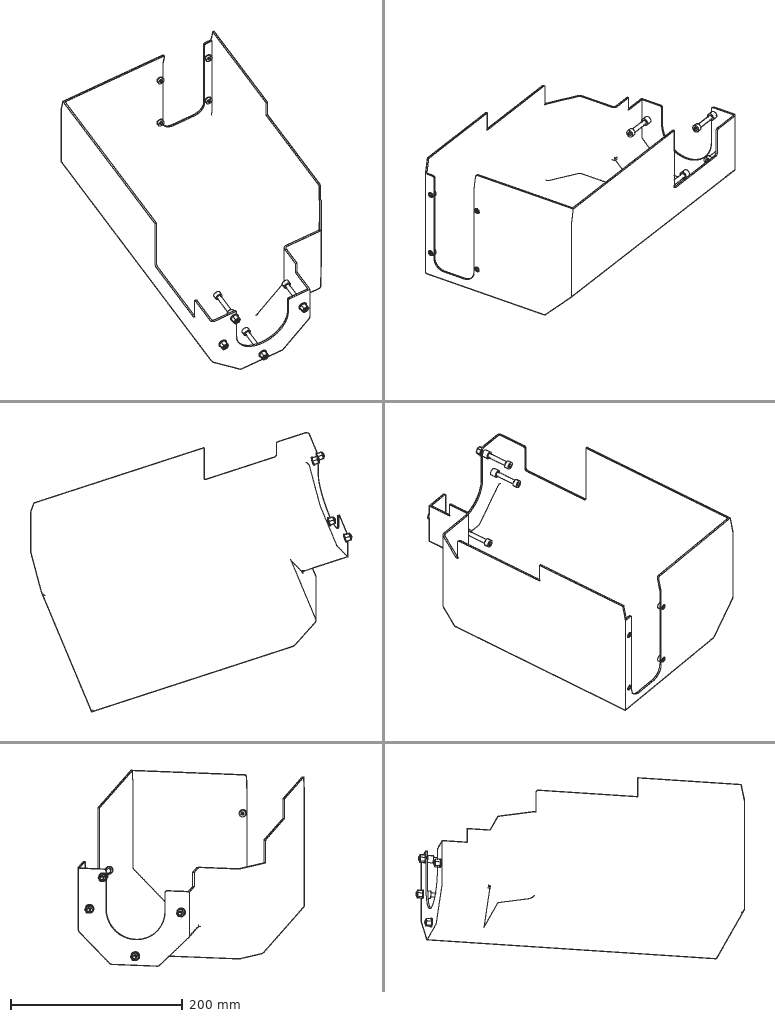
import cadquery as cq
import math

LENGTH = 346.0
WIDTH = 205.4
HEIGHT = 158.0
SHEET = 2.0
BEND_INSIDE = 2.0
BEND_OUTSIDE = BEND_INSIDE + SHEET
CLEAR = 10.0

NARROW_X = 289.0
NARROW_WIDTH = 133.4
SLANT_START_X = 250.5
SLANT_END_Y = 181.7

SLOPE_LEG = 39.3
REAR_SLOPE_LEG = 37.0
LEAN_START_Z = 138.5
LEAN_INSET = 4.0

NOTCH_START_X = 216.0
NOTCH_END_X = 306.0
NOTCH_FLOOR_Z = 78.5
FRONT_END_TOP_Z = 113.5
NOTCH_CORNER = 3.0

REAR_STEP_X = 127.0
REAR_MIDDLE_TOP_Z = 134.5
REAR_MIDDLE_END_X = 248.0
REAR_END_TOP_Z = 107.5
LAST_STEP_X = 316.0
LAST_TOP_Z = 90.5
EDGE_ROUND = 2.5

SLOT_START_Y = 137.3
SLOT_END_Y = 193.5
SLOT_FLOOR_Z = 12.8
SLOT_CORNER = 14.0

ROUND_Y = 68.9
ROUND_Z = 65.8
ROUND_RADIUS = 35.0
SCREW_CIRCLE_RADIUS = 54.4
SCREW_ANGLES = (0, 135, 180, 270)

SCREW_DIAMETER = 5.0
SCREW_HOLE_DIAMETER = 5.5
HEAD_DIAMETER = 8.5
HEAD_HEIGHT = 5.0
SCREW_LENGTH = 43.0
SCREW_PROTRUSION = 8.0
SCREW_TIP_CHAMFER = 0.8
SOCKET_ACROSS_FLATS = 4.0
SOCKET_DEPTH = 2.5
COLLAR_LENGTH = 7.0
WASHER_DIAMETER = 10.0
WASHER_THICKNESS = 1.0
NUT_ACROSS_FLATS = 8.0
NUT_THICKNESS = 5.7

INSERT_OUTSET = 4.5
INSERT_LOW_Z = 32.1
INSERT_HIGH_Z = 111.8
INSERT_HOLE_DIAMETER = 6.1
INSERT_NECK_DIAMETER = 5.3
INSERT_BODY_DIAMETER = 8.0
INSERT_BODY_LENGTH = 3.5
INSERT_BORE_DIAMETER = 3.24


def rounded_outline(plane, corners):
    """Closed outline from (u, v, radius) corners; a zero radius keeps the corner sharp."""
    outline = cq.Workplane(plane)
    for index, (u, v, radius) in enumerate(corners):
        before = cq.Vector(*corners[index - 1][:2])
        after = cq.Vector(*corners[(index + 1) % len(corners)][:2])
        corner = cq.Vector(u, v)
        to_before = (before - corner).normalized()
        to_after = (after - corner).normalized()
        half_angle = to_before.getAngle(to_after) / 2
        setback = radius / math.tan(half_angle)
        arc_start = corner + to_before * setback
        if index == 0:
            outline = outline.moveTo(arc_start.x, arc_start.y)
        else:
            outline = outline.lineTo(arc_start.x, arc_start.y)
        if radius:
            bisector = (to_before + to_after).normalized()
            arc_middle = corner + bisector * (radius / math.sin(half_angle) - radius)
            arc_end = corner + to_after * setback
            outline = outline.threePointArc((arc_middle.x, arc_middle.y), (arc_end.x, arc_end.y))
    return outline.close()


def rod(start_x, length, diameter):
    """Cylinder along X, starting at start_x."""
    return cq.Workplane("YZ").workplane(offset=start_x).circle(diameter / 2).extrude(length)


def hexagon(start_x, length, across_flats):
    """Hexagonal prism along X, starting at start_x."""
    across_corners = across_flats / math.cos(math.pi / 6)
    return cq.Workplane("YZ").workplane(offset=start_x).polygon(6, across_corners).extrude(length)


def housing_envelope(inset):
    """Solid envelope of the housing, moved inwards by inset; an inset envelope is open at the top."""
    bend = BEND_OUTSIDE - inset
    reverse_bend = BEND_INSIDE + inset
    low = inset
    top = HEIGHT + (CLEAR if inset else 0)
    right = LENGTH - inset
    rear = WIDTH - inset
    narrow_rear = NARROW_WIDTH - inset
    narrow_x = NARROW_X - inset
    leg_loss = inset * (2 - math.sqrt(2))
    slope_leg = SLOPE_LEG - leg_loss
    rear_slope_leg = REAR_SLOPE_LEG - leg_loss

    slant_angle = math.atan2(WIDTH - SLANT_END_Y, NARROW_X - SLANT_START_X)
    slant_start_x = SLANT_START_X - inset * math.tan(slant_angle / 2)
    slant_end_y = SLANT_END_Y - inset * math.tan((math.pi / 2 - slant_angle) / 2)

    plan = rounded_outline("XY", [
        (low, low, 0),
        (right, low, bend),
        (right, narrow_rear, 0),
        (narrow_x, narrow_rear, reverse_bend),
        (narrow_x, slant_end_y, bend),
        (slant_start_x, rear, bend),
        (low, rear, 0),
    ]).extrude(top)

    wide_section = rounded_outline("YZ", [
        (low + slope_leg, low, bend),
        (rear, low, bend),
        (rear, top, 0),
        (low, top, 0),
        (low, low + slope_leg, bend),
    ]).extrude(narrow_x)

    narrow_section = rounded_outline("YZ", [
        (low + slope_leg, low, bend),
        (narrow_rear - rear_slope_leg, low, bend),
        (narrow_rear, low + rear_slope_leg, bend),
        (narrow_rear, top, 0),
        (low, top, 0),
        (low, low + slope_leg, bend),
    ]).extrude(right)

    corner_room = cq.Workplane("XY").box(reverse_bend, reverse_bend, top - rear_slope_leg, centered=False)
    corner_room = corner_room.translate((narrow_x, narrow_rear, rear_slope_leg))

    lean_slope = LEAN_INSET / (HEIGHT - LEAN_START_Z)
    side = rounded_outline("XZ", [
        (low, low, bend),
        (right, low, 0),
        (right, top, 0),
        (low + lean_slope * (top - LEAN_START_Z), top, 0),
        (low, LEAN_START_Z, 0),
    ]).extrude(-WIDTH)

    return wide_section.union(narrow_section).union(corner_room).intersect(plan).intersect(side)


def front_opening():
    """Removes the notch of the front wall and lowers its right end."""
    depth = ROUND_Y
    above = HEIGHT + CLEAR
    beyond = LENGTH + CLEAR
    return rounded_outline("XZ", [
        (NOTCH_START_X, NOTCH_FLOOR_Z, NOTCH_CORNER),
        (NOTCH_END_X, NOTCH_FLOOR_Z, NOTCH_CORNER),
        (NOTCH_END_X, FRONT_END_TOP_Z, NOTCH_CORNER),
        (beyond, FRONT_END_TOP_Z, 0),
        (beyond, above, 0),
        (NOTCH_START_X, above, 0),
    ]).extrude(-depth)


def rear_opening():
    """Lowers the rear walls in steps towards the right end."""
    above = HEIGHT + CLEAR
    beyond = LENGTH + CLEAR
    return rounded_outline("XZ", [
        (REAR_STEP_X, REAR_MIDDLE_TOP_Z, 0),
        (REAR_MIDDLE_END_X, REAR_MIDDLE_TOP_Z, EDGE_ROUND),
        (REAR_MIDDLE_END_X, REAR_END_TOP_Z, 0),
        (LAST_STEP_X, REAR_END_TOP_Z, 0),
        (LAST_STEP_X, LAST_TOP_Z, 0),
        (beyond, LAST_TOP_Z, 0),
        (beyond, above, 0),
        (REAR_STEP_X, above, 0),
    ]).extrude(ROUND_Y - WIDTH).translate((0, ROUND_Y, 0))


def left_slot():
    """Open slot in the left wall, with a lowered tab between the slot and the rear wall."""
    above = HEIGHT + CLEAR
    inner_rear = WIDTH - SHEET
    return rounded_outline("YZ", [
        (SLOT_START_Y, SLOT_FLOOR_Z, SLOT_CORNER),
        (SLOT_END_Y, SLOT_FLOOR_Z, SLOT_CORNER),
        (SLOT_END_Y, LEAN_START_Z, EDGE_ROUND),
        (inner_rear, LEAN_START_Z, 0),
        (inner_rear, above, 0),
        (SLOT_START_Y - 2 * EDGE_ROUND, above, 0),
        (SLOT_START_Y - 2 * EDGE_ROUND, HEIGHT, 0),
        (SLOT_START_Y, HEIGHT, EDGE_ROUND),
    ]).extrude(LEAN_INSET + 2 * SHEET)


def round_cutout():
    """Round bottomed cutout in the right wall, open at the top between two rounded wall corners."""
    above = HEIGHT + CLEAR
    front_side = ROUND_Y - ROUND_RADIUS
    rear_side = ROUND_Y + ROUND_RADIUS
    straight_part = rounded_outline("YZ", [
        (front_side, ROUND_Z, 0),
        (front_side, FRONT_END_TOP_Z, EDGE_ROUND),
        (front_side - 2 * EDGE_ROUND, FRONT_END_TOP_Z, 0),
        (front_side - 2 * EDGE_ROUND, above, 0),
        (rear_side + 2 * EDGE_ROUND, above, 0),
        (rear_side + 2 * EDGE_ROUND, LAST_TOP_Z, 0),
        (rear_side, LAST_TOP_Z, EDGE_ROUND),
        (rear_side, ROUND_Z, 0),
    ]).extrude(SHEET)
    round_part = rod(0, SHEET, 2 * ROUND_RADIUS).translate((0, ROUND_Y, ROUND_Z))
    return straight_part.union(round_part).translate((LENGTH - SHEET, 0, 0))


def screw_set():
    """Socket head screw with collar, washer and nut, lying on the X axis."""
    under_head = LENGTH + SCREW_PROTRUSION - SCREW_LENGTH
    head_start = under_head - HEAD_HEIGHT
    shank = rod(under_head, SCREW_LENGTH, SCREW_DIAMETER).faces(">X").chamfer(SCREW_TIP_CHAMFER)
    head = rod(head_start, HEAD_HEIGHT, HEAD_DIAMETER)
    head = head.cut(hexagon(head_start, SOCKET_DEPTH, SOCKET_ACROSS_FLATS))
    collar = rod(LENGTH - SHEET - COLLAR_LENGTH, COLLAR_LENGTH, HEAD_DIAMETER)
    washer = rod(LENGTH, WASHER_THICKNESS, WASHER_DIAMETER)
    nut = hexagon(LENGTH + WASHER_THICKNESS, NUT_THICKNESS, NUT_ACROSS_FLATS)
    return head.union(shank).union(collar).union(washer).union(nut)


def threaded_insert():
    """Insert with a neck inside the wall and a wider body behind it, lying on the X axis."""
    neck = rod(0, SHEET, INSERT_NECK_DIAMETER)
    body = rod(SHEET, INSERT_BODY_LENGTH, INSERT_BODY_DIAMETER)
    bore = rod(0, SHEET + INSERT_BODY_LENGTH, INSERT_BORE_DIAMETER)
    return neck.union(body).cut(bore)


housing = housing_envelope(0).cut(housing_envelope(SHEET))
for opening in (front_opening(), rear_opening(), left_slot(), round_cutout()):
    housing = housing.cut(opening)

for angle in SCREW_ANGLES:
    screw_y = ROUND_Y + SCREW_CIRCLE_RADIUS * math.cos(math.radians(angle))
    screw_z = ROUND_Z + SCREW_CIRCLE_RADIUS * math.sin(math.radians(angle))
    place = (0, screw_y, screw_z)
    housing = housing.cut(rod(LENGTH - SHEET, SHEET, SCREW_HOLE_DIAMETER).translate(place))
    housing = housing.union(screw_set().translate(place))

for insert_y in (SLOT_START_Y - INSERT_OUTSET, SLOT_END_Y + INSERT_OUTSET):
    for insert_z in (INSERT_LOW_Z, INSERT_HIGH_Z):
        place = (0, insert_y, insert_z)
        housing = housing.cut(rod(0, SHEET, INSERT_HOLE_DIAMETER).translate(place))
        housing = housing.union(threaded_insert().translate(place))

result = housing